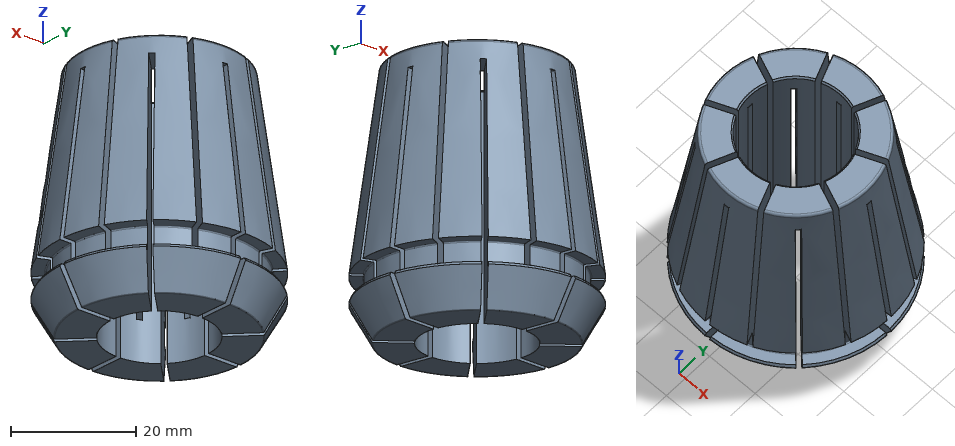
import cadquery as cq
import math

length = 46.0
outer_diameter = 41.0
bore_diameter = 20.0

nose_cone_top = 6.5
nose_top = 7.0
groove_top = 11.15

groove_diameter = 36.2
nose_half_angle = 30.0
body_half_angle = 8.0
rear_edge_radius = 0.5
nose_rim_chamfer = 0.3
nose_edge_radius = 0.2
groove_root_radius = 0.2
bore_edge_chamfer = 0.3

slots_per_end = 8
slot_width = 1.0
front_slot_top = 42.5
rear_slot_floor = 7.5
slot_overrun = 1.0

outer_radius = outer_diameter / 2
bore_radius = bore_diameter / 2
groove_radius = groove_diameter / 2
slot_pitch = 360.0 / slots_per_end


def make_body():
    """Revolve the collet: nose cone, extraction groove and long taper around the bore."""
    nose_radius = outer_radius - nose_cone_top * math.tan(math.radians(nose_half_angle))
    rear_radius = outer_radius - (length - groove_top) * math.tan(math.radians(body_half_angle))
    profile = [
        (bore_radius, 0),
        (nose_radius, 0),
        (outer_radius, nose_cone_top),
        (outer_radius - nose_rim_chamfer, nose_top),
        (groove_radius, nose_top),
        (groove_radius, groove_top),
        (outer_radius, groove_top),
        (rear_radius, length),
        (bore_radius, length),
    ]
    axis_start = (0, 0)
    axis_end = (0, 1)
    return cq.Workplane("XZ").polyline(profile).close().revolve(360, axis_start, axis_end)


def finish_front_edges(body):
    """Round the outer edge of the nose face and both root corners of the groove."""
    body = body.faces("<Z").edges(cq.selectors.RadiusNthSelector(-1)).fillet(nose_edge_radius)
    groove_roots = cq.selectors.BoxSelector(
        (-outer_radius, -outer_radius, nose_cone_top),
        (outer_radius, outer_radius, groove_top + groove_root_radius),
    )
    return body.edges(groove_roots).edges("%CIRCLE").edges(
        cq.selectors.RadiusNthSelector(0)
    ).fillet(groove_root_radius)


def finish_rear_edges(body):
    """Round the outer edge and chamfer the bore edge of the rear face."""
    body = body.faces(">Z").edges(cq.selectors.RadiusNthSelector(-1)).fillet(rear_edge_radius)
    return body.faces(">Z").edges(cq.selectors.RadiusNthSelector(0)).chamfer(bore_edge_chamfer)


def make_slots(bottom, top, first_angle):
    """Return the radial saw cuts that spread evenly around the axis between two heights."""
    blade_length = outer_radius + slot_overrun
    blade = (
        cq.Workplane("XY", origin=(0, 0, bottom))
        .box(blade_length, slot_width, top - bottom, centered=(False, True, False))
    )
    slots = cq.Workplane("XY")
    for index in range(slots_per_end):
        angle = first_angle + index * slot_pitch
        slots = slots.add(blade.rotate((0, 0, 0), (0, 0, 1), angle))
    return slots.combine()


collet = finish_rear_edges(finish_front_edges(make_body()))
front_slots = make_slots(-slot_overrun, front_slot_top, 0)
rear_slots = make_slots(rear_slot_floor, length + slot_overrun, slot_pitch / 2)
result = collet.cut(front_slots).cut(rear_slots)